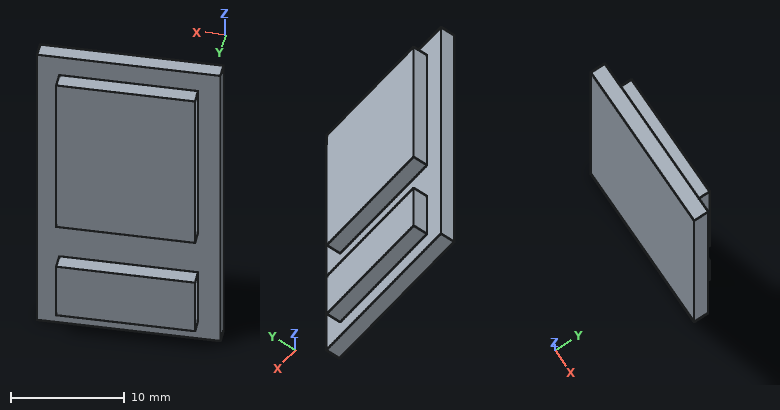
import cadquery as cq

plate_width = 16.5
plate_height = 30.0
plate_thickness = 1.5

block_margin = 2.0
block_thickness = 1.5
upper_block_height = 16.0
lower_block_height = 5.5
block_width = plate_width - 2 * block_margin


def raised_block(bottom, height):
    """Block standing on the +Y face of the plate, centred across its width."""
    return (
        cq.Workplane("XY")
        .box(block_width, block_thickness, height, centered=(True, False, False))
        .translate((0, plate_thickness, bottom))
    )


plate = cq.Workplane("XY").box(
    plate_width, plate_thickness, plate_height, centered=(True, False, False)
)
lower_block = raised_block(block_margin, lower_block_height)
upper_block = raised_block(plate_height - block_margin - upper_block_height, upper_block_height)

result = plate.union(lower_block).union(upper_block)